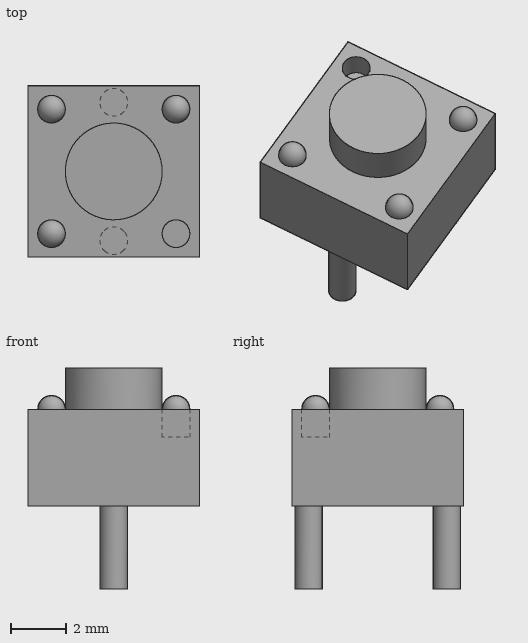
import cadquery as cq

BODY_SIDE = 6.2
BODY_HEIGHT = 3.5

BUTTON_DIAMETER = 3.5
BUTTON_HEIGHT = 1.5

PIN_DIAMETER = 1.0
PIN_LENGTH = 3.0
PIN_SPACING = 5.0

CORNER_OFFSET = 2.25
DOME_DIAMETER = 1.0
DOME_CORNERS = [(-1, -1), (-1, 1), (1, 1)]
HOLE_CORNER = (1, -1)
HOLE_DIAMETER = DOME_DIAMETER
HOLE_DEPTH = HOLE_DIAMETER


def make_body():
    return cq.Workplane("XY").box(BODY_SIDE, BODY_SIDE, BODY_HEIGHT, centered=(True, True, False))


def make_button():
    return cq.Workplane("XY").workplane(offset=BODY_HEIGHT).circle(BUTTON_DIAMETER / 2).extrude(BUTTON_HEIGHT)


def make_pins():
    centres = [(0, -PIN_SPACING / 2), (0, PIN_SPACING / 2)]
    return cq.Workplane("XY").pushPoints(centres).circle(PIN_DIAMETER / 2).extrude(-PIN_LENGTH)


def corner_point(corner):
    x_sign, y_sign = corner
    return (x_sign * CORNER_OFFSET, y_sign * CORNER_OFFSET)


def make_dome(corner):
    """Ball centred on the top face, so that its upper half stands proud."""
    x, y = corner_point(corner)
    return cq.Workplane("XY").sphere(DOME_DIAMETER / 2).translate((x, y, BODY_HEIGHT))


def make_hole():
    top = cq.Workplane("XY").workplane(offset=BODY_HEIGHT)
    return top.pushPoints([corner_point(HOLE_CORNER)]).circle(HOLE_DIAMETER / 2).extrude(-HOLE_DEPTH)


result = make_body().union(make_button()).union(make_pins())
for dome_corner in DOME_CORNERS:
    result = result.union(make_dome(dome_corner))
result = result.cut(make_hole())